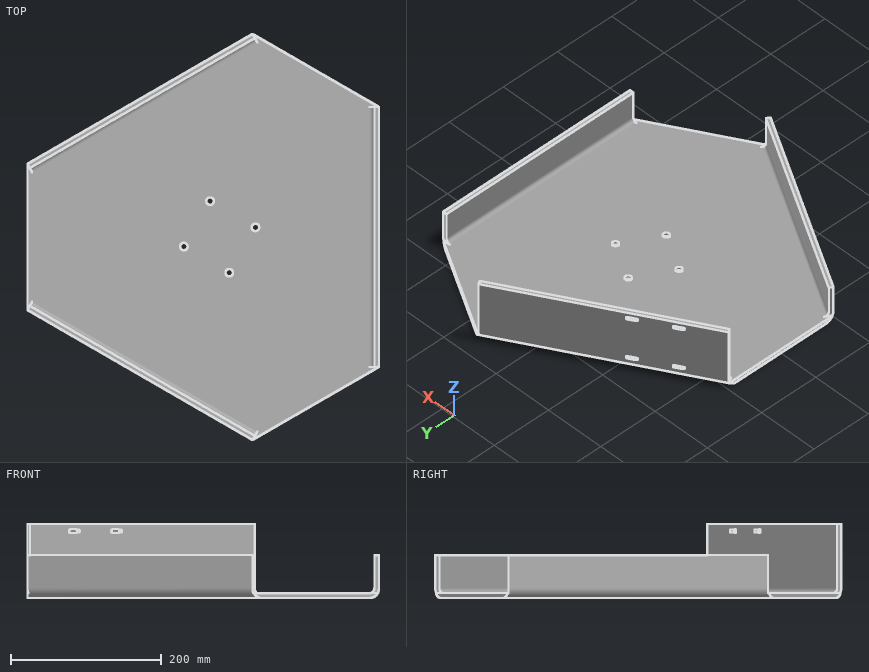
import cadquery as cq
import math

overall_width = 539.0
long_side = 345.0
short_side = overall_width - long_side
wall_distance = (long_side + 2 * short_side) / (2 * math.sqrt(3))
corner_radius = math.hypot(wall_distance, long_side / 2)

thickness = 6.5
inner_bend_radius = 6.5
outer_bend_radius = inner_bend_radius + thickness

tall_wall_height = 98.5
low_wall_height = 57.0
wall_heights = {0: low_wall_height, 120: tall_wall_height, 240: low_wall_height}
slotted_wall_angle = 120

bolt_diameter = 9.5
bolt_spacing = 69.5
bolt_pattern_angle = 60

slot_length = 16.0
slot_height = 4.5
slot_end_distance = 68.5
slot_spacing = 64.5
slot_top_margin = 9.5
slot_row_spacing = 70.0


def make_plate():
    """Plate with alternating long and short sides, centred on Z."""
    half_angle = math.degrees(math.atan2(long_side / 2, wall_distance))
    corners = []
    for wall_angle in wall_heights:
        for side in (-1, 1):
            angle = math.radians(wall_angle + side * half_angle)
            corners.append((corner_radius * math.cos(angle), corner_radius * math.sin(angle)))
    return cq.Workplane("XY").polyline(corners).close().extrude(thickness)


def make_wall(height):
    """Wall on the +X long side, with its concave inner bend."""
    inner_face = wall_distance - thickness
    return (
        cq.Workplane("XZ")
        .moveTo(wall_distance, 0)
        .lineTo(wall_distance, height)
        .lineTo(inner_face, height)
        .lineTo(inner_face, thickness + inner_bend_radius)
        .radiusArc((inner_face - inner_bend_radius, thickness), inner_bend_radius)
        .lineTo(inner_face - inner_bend_radius, 0)
        .close()
        .extrude(long_side / 2, both=True)
    )


def make_bend_relief():
    """Material outside the rounded lower edge of the +X long side."""
    return (
        cq.Workplane("XZ")
        .moveTo(wall_distance, 0)
        .lineTo(wall_distance, outer_bend_radius)
        .radiusArc((wall_distance - outer_bend_radius, 0), outer_bend_radius)
        .close()
        .extrude(long_side, both=True)
    )


def make_slots():
    """Two rows of two slots through a wall on the +X side."""
    column_center = long_side / 2 - slot_end_distance - slot_spacing / 2
    row_center = tall_wall_height - slot_top_margin - slot_row_spacing / 2
    return (
        cq.Workplane("YZ", origin=(wall_distance - thickness, column_center, row_center))
        .rarray(slot_spacing, slot_row_spacing, 2, 2)
        .slot2D(slot_length, slot_height)
        .extrude(thickness)
    )


def make_bolt_holes():
    """Four holes at the corners of a turned square."""
    return (
        cq.Workplane("XY")
        .rarray(bolt_spacing, bolt_spacing, 2, 2)
        .circle(bolt_diameter / 2)
        .extrude(thickness)
        .rotate((0, 0, 0), (0, 0, 1), bolt_pattern_angle)
    )


def turn_to_side(shape, angle):
    """Turn a +X side feature about Z to another long side."""
    return shape.rotate((0, 0, 0), (0, 0, 1), angle)


result = make_plate()
for side_angle, wall_height in wall_heights.items():
    result = result.union(turn_to_side(make_wall(wall_height), side_angle))
for side_angle in wall_heights:
    result = result.cut(turn_to_side(make_bend_relief(), side_angle))
result = result.cut(turn_to_side(make_slots(), slotted_wall_angle))
result = result.cut(make_bolt_holes())